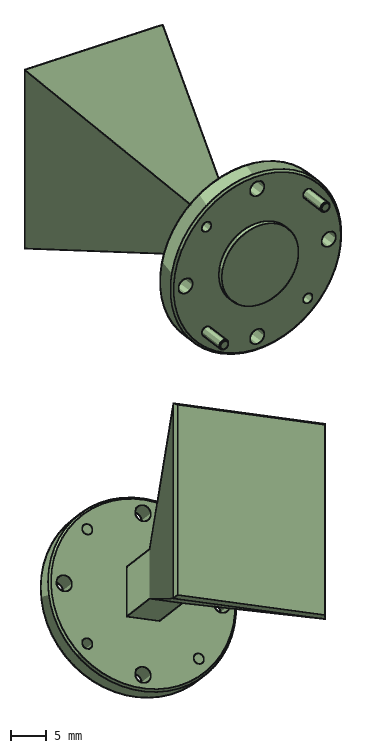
import cadquery as cq
import math

overall_length = 47.05
rim_length = 0.6
throat_x = 30.8
flange_front_x = 39.15
flange_thickness = 3.35
boss_thickness = 0.75
flange_back_x = flange_front_x + flange_thickness

mouth_width = 23.05
mouth_height = 28.9
rim_inset = 0.38
guide_width = 5.0
guide_height = 7.35

flange_diameter = 28.55
flange_chamfer = 0.35
boss_diameter = 12.8

bolt_circle_radius = 11.95
screw_hole_diameter = 2.35
pin_diameter = 1.55
pin_chamfer = 0.15
screw_angles = (0, 90, 180, 270)
pin_hole_angles = (45, 135, 225, 315)
fitted_pin_angles = (45, 225)


def plane_at(x):
    """Workplane facing +X at station x, with local axes along Y and Z."""
    return cq.Workplane("YZ", origin=(x, 0, 0))


def bolt_circle_point(angle):
    """Position (Y, Z) on the bolt circle, with the angle measured from +Y toward +Z."""
    turn = math.radians(angle)
    return (bolt_circle_radius * math.cos(turn), bolt_circle_radius * math.sin(turn))


def rectangular_taper(start_x, start_size, end_x, end_size):
    """Straight-sided transition between two centred rectangles."""
    return (
        plane_at(start_x)
        .rect(*start_size)
        .workplane(offset=end_x - start_x)
        .rect(*end_size)
        .loft(ruled=True, combine=True)
    )


def make_horn_body():
    """Solid bevelled rim, flared horn and straight guide."""
    mouth_size = (mouth_width, mouth_height)
    face_size = (mouth_width - 2 * rim_inset, mouth_height - 2 * rim_inset)
    guide_size = (guide_width, guide_height)
    rim = rectangular_taper(0, face_size, rim_length, mouth_size)
    flare = rectangular_taper(rim_length, mouth_size, throat_x, guide_size)
    guide = plane_at(throat_x).rect(*guide_size).extrude(flange_front_x - throat_x)
    return rim.union(flare).union(guide)


def make_flange():
    """Round chamfered flange with a rear boss, screw holes and pin holes."""
    disc = plane_at(flange_front_x).circle(flange_diameter / 2).extrude(flange_thickness)
    disc = disc.edges().chamfer(flange_chamfer)
    boss = plane_at(flange_back_x).circle(boss_diameter / 2).extrude(boss_thickness)
    screw_holes = (
        plane_at(flange_front_x)
        .pushPoints([bolt_circle_point(angle) for angle in screw_angles])
        .circle(screw_hole_diameter / 2)
        .extrude(flange_thickness)
    )
    pin_holes = (
        plane_at(flange_front_x)
        .pushPoints([bolt_circle_point(angle) for angle in pin_hole_angles])
        .circle(pin_diameter / 2)
        .extrude(flange_thickness)
    )
    return disc.union(boss).cut(screw_holes).cut(pin_holes)


def make_pin(angle):
    """Alignment pin, flush with the flange front and chamfered at its free end."""
    pin = (
        plane_at(flange_front_x)
        .center(*bolt_circle_point(angle))
        .circle(pin_diameter / 2)
        .extrude(overall_length - flange_front_x)
    )
    return pin.faces(">X").chamfer(pin_chamfer)


horn_antenna = make_horn_body().union(make_flange())
pins = [make_pin(angle) for angle in fitted_pin_angles]

result = cq.Compound.makeCompound([horn_antenna.val(), *[pin.val() for pin in pins]])